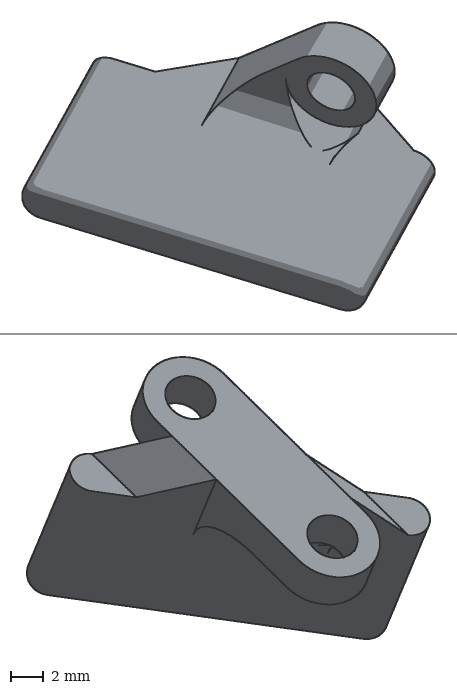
import cadquery as cq
import math

plate_length = 22.8
plate_depth = 12.0
plate_thickness = 2.8
front_edge_radius = 0.8

lever_thickness = 3.0
eye_radius = 3.0
eye_offset = 4.5
eye_hole_radius = 1.6
lever_angle = 45.0
fillet_radius = 3.0

half_thickness = plate_thickness / 2
plate_flat_half = plate_length / 2 - half_thickness
lever_back = plate_depth + lever_thickness
eye_spacing = 2 * math.hypot(eye_offset, eye_offset)
eye_centers = [(eye_offset, eye_offset), (-eye_offset, -eye_offset)]


def xz_plane(y):
    """Plane at depth y with local axes X and Z; extruding negatively goes toward +Y."""
    return cq.Workplane("XZ", origin=(0, y, 0))


def make_plate():
    plate = xz_plane(0).slot2D(plate_length, plate_thickness).extrude(-plate_depth)
    return plate.faces("<Y").edges().fillet(front_edge_radius)


def lever_bar(front, back):
    """Slanted bar with rounded ends between two depths."""
    outline = xz_plane(front).slot2D(eye_spacing + 2 * eye_radius, 2 * eye_radius, lever_angle)
    return outline.extrude(front - back)


def eye_cylinders(radius, front, back):
    return xz_plane(front).pushPoints(eye_centers).circle(radius).extrude(front - back)


def slanted_section(half_width):
    """Corners of a parallelogram of plate thickness whose sides follow the lever slant."""
    lean = half_thickness / math.tan(math.radians(lever_angle))
    return [
        (-half_width - lean, -half_thickness),
        (half_width - lean, -half_thickness),
        (half_width + lean, half_thickness),
        (-half_width + lean, half_thickness),
    ]


def make_web():
    """Taper from the back of the plate to the width of the lever."""
    plate_half_width = plate_flat_half - half_thickness
    lever_half_width = eye_radius / math.sin(math.radians(lever_angle))
    return (
        xz_plane(plate_depth)
        .polyline(slanted_section(plate_half_width)).close()
        .workplane(offset=-lever_thickness)
        .polyline(slanted_section(lever_half_width)).close()
        .loft(ruled=True)
    )


def fillet_strip(side):
    """Concave strip along X above (side = 1) or below (side = -1) the plate."""
    start = plate_depth - fillet_radius
    surface = side * half_thickness
    top = side * (half_thickness + fillet_radius)
    arc_reach = fillet_radius * math.sin(math.radians(45))
    arc_middle = (start + arc_reach, top - side * arc_reach)
    return (
        cq.Workplane("YZ")
        .moveTo(start, surface)
        .threePointArc(arc_middle, (plate_depth, top))
        .lineTo(plate_depth, 0)
        .lineTo(start, 0)
        .close()
        .extrude(plate_flat_half, both=True)
    )


def make_fillets():
    """Concave strips trimmed to the lever outline and cleared in front of both eyes."""
    start = plate_depth - fillet_radius
    strips = fillet_strip(1).union(fillet_strip(-1))
    trimmed = strips.intersect(lever_bar(start, plate_depth))
    return trimmed.cut(eye_cylinders(eye_radius, start, plate_depth))


lever = lever_bar(plate_depth, lever_back)
lever = lever.cut(eye_cylinders(eye_hole_radius, plate_depth, lever_back))

result = make_plate().union(make_web()).union(lever).union(make_fillets())